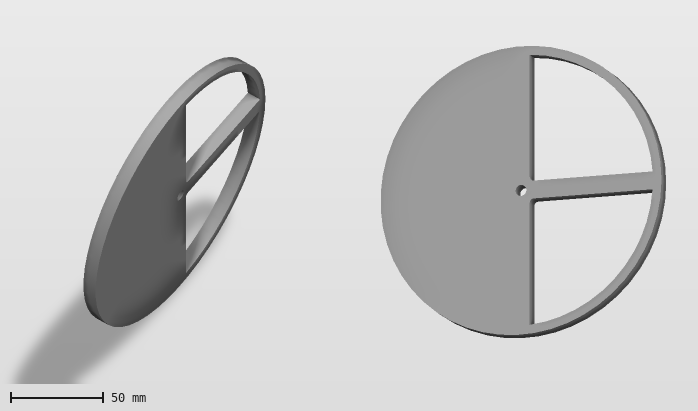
import cadquery as cq

disc_diameter = 160.0
thickness = 8.0
shaft_hole_diameter = 6.0

rim_width = 5.0
spoke_width = 10.0
web_edge_y = spoke_width / 2
corner_radius = 2.4

window_diameter = disc_diameter - 2 * rim_width

base = cq.Workplane("YZ", origin=(-thickness / 2, 0, 0))


def round_plate(diameter):
    """Cylinder on the disc axis, as thick as the disc."""
    return base.circle(diameter / 2).extrude(thickness)


def window(side):
    """Cutter for the window above (side = 1) or below (side = -1) the spoke."""
    quadrant = (
        base.center(web_edge_y + disc_diameter / 2, side * (spoke_width + disc_diameter) / 2)
        .rect(disc_diameter, disc_diameter)
        .extrude(thickness)
        .edges("|X")
        .edges(cq.selectors.NearestToPointSelector((0, 0, 0)))
        .fillet(corner_radius)
    )
    return round_plate(window_diameter).intersect(quadrant)


result = round_plate(disc_diameter).cut(round_plate(shaft_hole_diameter))
for side in (1, -1):
    result = result.cut(window(side))